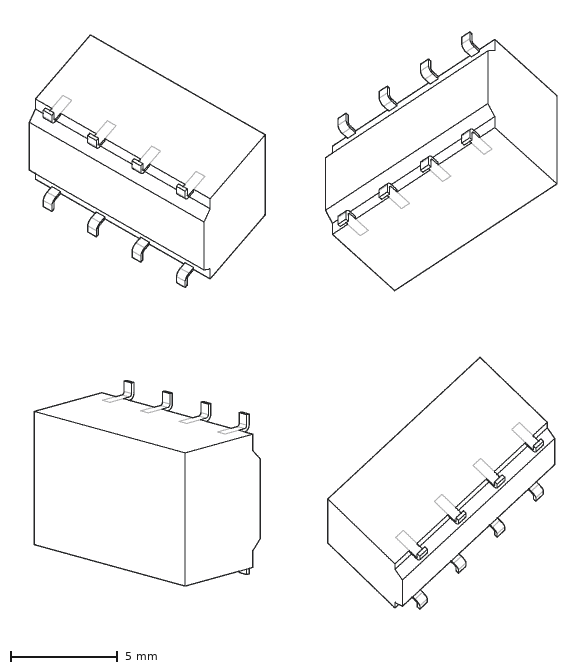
import cadquery as cq

body_length = 10.0
body_height = 6.5
block_depth = 4.5
nose_depth = 0.5
ledge_height = 0.81

lead_count = 4
lead_pitch = 2.54
lead_width = 0.5
lead_thickness = 0.17
bend_inner_radius = 0.14
lead_projection = 0.2
lead_rise = 0.65
lead_run = 1.61

half_height = body_height / 2
nose_root = half_height - ledge_height
nose_half = nose_root - nose_depth
foot_y = -(nose_depth + lead_projection)
bend_outer_radius = bend_inner_radius + lead_thickness


def make_body():
    profile = [
        (block_depth, half_height),
        (0, half_height),
        (0, nose_root),
        (-nose_depth, nose_half),
        (-nose_depth, -nose_half),
        (0, -nose_root),
        (0, -half_height),
        (block_depth, -half_height),
    ]
    return cq.Workplane("YZ").polyline(profile).close().extrude(body_length / 2, both=True)


def make_top_lead(center_x):
    """Flat strip buried in the block, bent upward at its front end."""
    buried_y = foot_y + lead_run
    under_z = half_height - lead_thickness
    bend_y = foot_y + bend_outer_radius
    bend_z = under_z + bend_outer_radius
    tip_z = half_height + lead_rise
    inner_y = foot_y + lead_thickness
    return (
        cq.Workplane("YZ", origin=(center_x, 0, 0))
        .moveTo(buried_y, half_height)
        .lineTo(bend_y, half_height)
        .radiusArc((inner_y, bend_z), bend_inner_radius)
        .lineTo(inner_y, tip_z)
        .lineTo(foot_y, tip_z)
        .lineTo(foot_y, bend_z)
        .radiusArc((bend_y, under_z), -bend_outer_radius)
        .lineTo(buried_y, under_z)
        .close()
        .extrude(lead_width / 2, both=True)
    )


result = make_body()
for index in range(lead_count):
    lead_x = (index - (lead_count - 1) / 2) * lead_pitch
    top_lead = make_top_lead(lead_x)
    for lead in (top_lead, top_lead.mirror("XY")):
        result = result.cut(lead, clean=False).union(lead, clean=False)